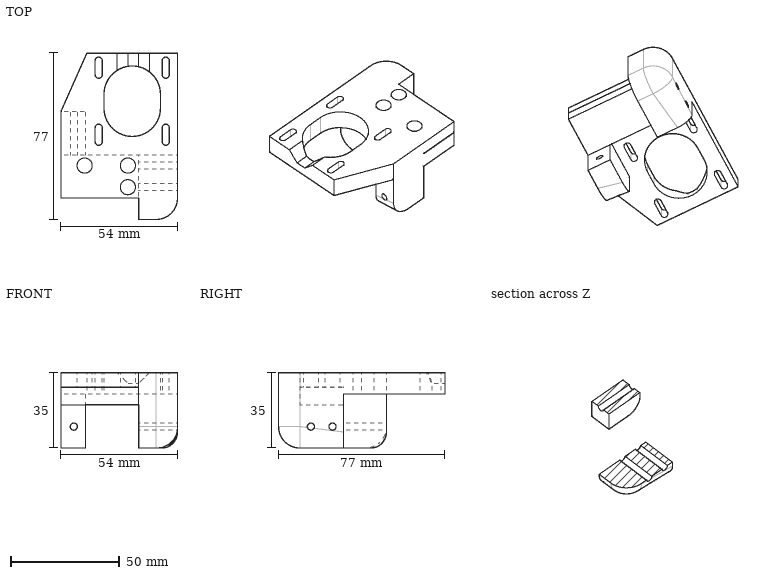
import cadquery as cq

width = 54.0
depth = 77.0
height = 35.0
plate_thickness = 10.0
plate_bottom = height - plate_thickness
corner_chamfer_x = 12.0
base_depth = 50.0

arm_start_x = 36.0
block_front = 10.0
block_bottom = 20.0
slit_bottom = 28.0
slit_height = 0.3

motor_x = 33.0
motor_front_y = 51.5
tension_travel = 6.5
motor_y = motor_front_y + tension_travel / 2
motor_body_width = 43.0
pilot_diameter = 26.0
motor_bolt_pitch = 31.0
bolt_diameter = 3.2
leg_width = motor_x - motor_body_width / 2
leg_front = motor_front_y - motor_body_width / 2

notch_center_x = 33.5
notch_floor_width = 5.0
notch_depth = 5.0

corner_radius = 10.0
tapered_radius = 7.5

block_head_diameter = 7.0
block_hole_points = [(11.0, 25.0), (31.0, 25.0), (31.0, 15.0)]
side_hole_z = 10.0
leg_hole_x = 6.0
arm_hole_ys = [15.0, 25.0]


def box(x0, x1, y0, y1, z0, z1):
    """Box between pairs of X, Y and Z limits."""
    return cq.Workplane("XY").box(x1 - x0, y1 - y0, z1 - z0, centered=False).translate((x0, y0, z0))


def slot(diameter, x, y, z0):
    """Upright slot cutter along Y, reaching from z0 to the top face."""
    return (
        cq.Workplane("XY", origin=(x, y, z0))
        .slot2D(diameter + tension_travel, diameter, 90)
        .extrude(height - z0)
    )


def corner_waste(plane, radius):
    """Wire around the material outside a rounded corner whose sharp point is the plane origin."""
    bulge = radius * (1 - 0.5**0.5)
    return (
        cq.Workplane(plane)
        .moveTo(0, 0)
        .lineTo(-radius, 0)
        .threePointArc((-bulge, bulge), (0, radius))
        .close()
        .val()
    )


def tapered_round(start, end, outward):
    """Cutter rounding a lower edge from the full radius at start to the tapered radius at end."""
    up_normal = (outward[1], -outward[0], 0)
    start_wire = corner_waste(cq.Plane(start, outward, up_normal), corner_radius)
    end_wire = corner_waste(cq.Plane(end, outward, up_normal), tapered_radius)
    return cq.Solid.makeLoft([start_wire, end_wire], True)


def make_plate():
    outline = [
        (0, 0),
        (width, 0),
        (width, depth),
        (corner_chamfer_x, depth),
        (0, base_depth),
    ]
    return cq.Workplane("XY", origin=(0, 0, plate_bottom)).polyline(outline).close().extrude(plate_thickness)


def make_body():
    """Plate, left leg, right arm and clamping block with the front corner rounded."""
    leg = box(0, leg_width, leg_front, base_depth, 0, plate_bottom)
    arm = box(arm_start_x, width, 0, leg_front, 0, plate_bottom)
    block = box(0, arm_start_x, block_front, leg_front, block_bottom, plate_bottom)
    body = make_plate().union(leg).union(arm).union(block)
    body = body.cut(box(0, arm_start_x, 0, block_front, 0, height))
    return body


def round_front_corner(body):
    """Round the arm's front: an upright quarter cylinder, a lying one and a ball between them."""
    center_x = width - corner_radius
    blank = box(center_x, width, 0, corner_radius, 0, height)
    ball = cq.Workplane("XY").sphere(corner_radius).translate((center_x, corner_radius, corner_radius))
    column = (
        cq.Workplane("XY", origin=(center_x, corner_radius, corner_radius))
        .circle(corner_radius)
        .extrude(height - corner_radius)
    )
    body = body.cut(blank.cut(ball.union(column)))
    front_blank = box(arm_start_x, center_x, 0, corner_radius, 0, corner_radius)
    front_roll = (
        cq.Workplane("YZ", origin=(arm_start_x, corner_radius, corner_radius))
        .circle(corner_radius)
        .extrude(center_x - arm_start_x)
    )
    return body.cut(front_blank.cut(front_roll))


def round_lower_edges(body):
    arm_round = tapered_round((width, corner_radius, 0), (width, leg_front, 0), (1, 0, 0))
    leg_round = tapered_round((0, base_depth, 0), (leg_width, base_depth, 0), (0, 1, 0))
    return body.cut(cq.Workplane(arm_round)).cut(cq.Workplane(leg_round))


def cut_motor_mount(body):
    body = body.cut(slot(pilot_diameter, motor_x, motor_y, plate_bottom))
    for side_x in (-1, 1):
        for side_y in (-1, 1):
            bolt_x = motor_x + side_x * motor_bolt_pitch / 2
            bolt_y = motor_y + side_y * motor_bolt_pitch / 2
            body = body.cut(slot(bolt_diameter, bolt_x, bolt_y, plate_bottom))
    return body


def cut_notch(body):
    """Notch with 45 degree flanks, from the pilot opening to the rear edge."""
    half_floor = notch_floor_width / 2
    half_top = half_floor + notch_depth
    profile = [
        (-half_floor, -notch_depth),
        (half_floor, -notch_depth),
        (half_top, 0),
        (-half_top, 0),
    ]
    cutter = (
        cq.Workplane("XZ", origin=(notch_center_x, depth, height))
        .polyline(profile)
        .close()
        .extrude(depth - motor_y)
    )
    return body.cut(cutter)


def cut_block_features(body):
    """Thin slit above the clamping block and the screw head holes that reach down to it."""
    body = body.cut(box(0, arm_start_x, block_front, leg_front, slit_bottom, slit_bottom + slit_height))
    heads = (
        cq.Workplane("XY", origin=(0, 0, slit_bottom))
        .pushPoints(block_hole_points)
        .circle(block_head_diameter / 2)
        .extrude(height - slit_bottom)
    )
    return body.cut(heads)


def cut_side_holes(body):
    leg_hole = (
        cq.Workplane("XZ", origin=(leg_hole_x, base_depth, side_hole_z))
        .circle(bolt_diameter / 2)
        .extrude(base_depth - leg_front)
    )
    arm_holes = (
        cq.Workplane("YZ", origin=(arm_start_x, 0, side_hole_z))
        .pushPoints([(y, 0) for y in arm_hole_ys])
        .circle(bolt_diameter / 2)
        .extrude(width - arm_start_x)
    )
    return body.cut(leg_hole).cut(arm_holes)


result = make_body()
result = round_front_corner(result)
result = round_lower_edges(result)
result = cut_motor_mount(result)
result = cut_notch(result)
result = cut_block_features(result)
result = cut_side_holes(result)